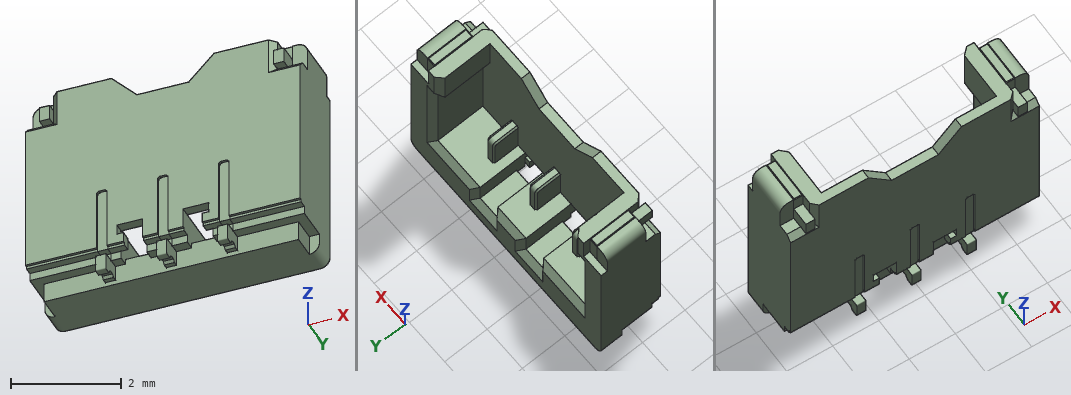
import cadquery as cq


WIDTH = 5.4
HEIGHT = 4.3
OVERALL_DEPTH = 1.45
TIP_OVERHANG = 0.0515
CORNER_RADIUS = 0.2

CAVITY_HALF_WIDTH = 1.9
CAVITY_DEPTH = 1.2
FLOOR_HEIGHT = 1.0
CAVITY_CHAMFER = 0.14

SIDE_POCKET_TOP = 3.395
SIDE_POCKET_DEPTH = 0.2

SLOT_INNER_X = 0.4
SLOT_OUTER_X = 0.9
SLOT_BOTTOM = 0.495
WINDOW_STEP_X = 0.77
WINDOW_STEP_HEIGHT = 0.8

BACK_FOOT_DEPTH = 0.495
BASE_DEPTH = 1.0
BASE_HEIGHT = 0.395
LIP_BOTTOM = 0.55
LIP_STEP_HEIGHT = 0.605
LIP_RELIEF = 0.05

NOTCH_DEPTH = 0.5
NOTCH_HALF_BOTTOM = 0.51

SHOULDER_DROP = 0.605
SIDE_WALL_OUTER_X = 2.205
BACK_RECESS_DEPTH = 0.145
EAR_FRONT_DEPTH = 1.055
SHOULDER_CHAMFER = 0.125

METAL_THICKNESS = 0.2
PEG_FOOT_TOP_DROP = 0.3
PEG_CHAMFER = 0.015

CONTACT_PITCH = 1.2
CONTACT_COUNT = 3
CONTACT_TOP = 1.85
CONTACT_BACK_DEPTH = 0.62
CONTACT_TIP_RADIUS = 0.095
CONTACT_CHAMFER = 0.04
CONTACT_FOOT_EDGE_RADIUS = 0.02
FOOT_REAR_BOTTOM = 0.09
FOOT_TIP_BOTTOM = 0.055
ARCH_TOP = 0.14
ARCH_REAR_DEPTH = 1.09
ARCH_FRONT_DEPTH = 1.305
ARCH_TOP_REAR_DEPTH = 1.14
ARCH_TOP_FRONT_DEPTH = 1.24

CLEAR = 0.055

HALF_WIDTH = WIDTH / 2
BASE_HALF_WIDTH = HALF_WIDTH - CORNER_RADIUS
SHOULDER_HEIGHT = HEIGHT - SHOULDER_DROP
DEPTH = OVERALL_DEPTH - TIP_OVERHANG
LIP_DEPTH = DEPTH - LIP_RELIEF
SIDES = (-1, 1)


def block(x_range, depth_range, z_range):
    """Box between two X values, two depths behind the back plane, and two heights."""
    x0, x1 = sorted(x_range)
    d0, d1 = depth_range
    z0, z1 = z_range
    return cq.Workplane("XY").box(x1 - x0, d1 - d0, z1 - z0, centered=False).translate((x0, -d1, z0))


def profile_along_x(points, x_start, length):
    """Prism along +X from an outline of (depth, height) points."""
    outline = [(-depth, z) for depth, z in points]
    return cq.Workplane("YZ").polyline(outline).close().extrude(length).translate((x_start, 0, 0))


def housing_blank():
    """Stepped cross-section, with all four corners of the front outline rounded."""
    body = profile_along_x(
        [
            (0, 0),
            (BASE_DEPTH, 0),
            (BASE_DEPTH, BASE_HEIGHT),
            (CAVITY_DEPTH, BASE_HEIGHT),
            (CAVITY_DEPTH, LIP_BOTTOM),
            (LIP_DEPTH, LIP_BOTTOM),
            (LIP_DEPTH, LIP_STEP_HEIGHT),
            (DEPTH, LIP_STEP_HEIGHT),
            (DEPTH, HEIGHT),
            (0, HEIGHT),
        ],
        -HALF_WIDTH,
        WIDTH,
    )
    outline = (
        cq.Workplane("XZ")
        .rect(WIDTH, HEIGHT)
        .extrude(DEPTH)
        .edges("|Y")
        .fillet(CORNER_RADIUS)
        .translate((0, 0, HEIGHT / 2))
    )
    body = body.intersect(outline)
    for side in SIDES:
        body = body.cut(
            block(
                (side * BASE_HALF_WIDTH, side * HALF_WIDTH),
                (BACK_FOOT_DEPTH, BASE_DEPTH),
                (0, BASE_HEIGHT),
            )
        )
    return body


def cut_cavity(body):
    """Cavity, its side pockets and floor slots, with one chamfer round their mouth at the back."""
    body = body.cut(
        block((-CAVITY_HALF_WIDTH, CAVITY_HALF_WIDTH), (0, CAVITY_DEPTH), (FLOOR_HEIGHT, HEIGHT))
    )
    pocket_half_width = CAVITY_HALF_WIDTH + SIDE_POCKET_DEPTH
    body = body.cut(
        block((-pocket_half_width, pocket_half_width), (0, CAVITY_DEPTH), (FLOOR_HEIGHT, SIDE_POCKET_TOP))
    )
    for side in SIDES:
        slot_x = (side * SLOT_INNER_X, side * SLOT_OUTER_X)
        body = body.cut(block(slot_x, (0, CAVITY_DEPTH), (SLOT_BOTTOM, FLOOR_HEIGHT)))
    mouth = cq.selectors.BoxSelector(
        (-pocket_half_width - CLEAR, -CLEAR, SLOT_BOTTOM - CLEAR),
        (pocket_half_width + CLEAR, CLEAR, HEIGHT - CLEAR),
    )
    return body.edges(mouth).chamfer(CAVITY_CHAMFER)


def cut_windows(body):
    """Stepped windows through the front wall, and the slots carried on through the underside."""
    for side in SIDES:
        slot_x = (side * SLOT_INNER_X, side * SLOT_OUTER_X)
        stepped_x = (side * SLOT_INNER_X, side * WINDOW_STEP_X)
        body = body.cut(block(slot_x, (BASE_DEPTH, CAVITY_DEPTH), (BASE_HEIGHT, SLOT_BOTTOM)))
        body = body.cut(block(slot_x, (CAVITY_DEPTH, DEPTH), (WINDOW_STEP_HEIGHT, FLOOR_HEIGHT)))
        body = body.cut(block(stepped_x, (CAVITY_DEPTH, DEPTH), (LIP_BOTTOM, WINDOW_STEP_HEIGHT)))
    return body


def cut_notch(body):
    """V-shaped notch with 45-degree flanks and a flat bottom."""
    half_top = NOTCH_HALF_BOTTOM + NOTCH_DEPTH
    notch = (
        cq.Workplane("XZ")
        .polyline(
            [
                (-half_top, HEIGHT),
                (-NOTCH_HALF_BOTTOM, HEIGHT - NOTCH_DEPTH),
                (NOTCH_HALF_BOTTOM, HEIGHT - NOTCH_DEPTH),
                (half_top, HEIGHT),
            ]
        )
        .close()
        .extrude(DEPTH)
    )
    return body.cut(notch)


def front_recess():
    """Right-hand front corner recess; its floor and inner wall flare at 45 degrees to the front."""
    flare_depth = DEPTH - SHOULDER_CHAMFER
    corner_width = HALF_WIDTH - SIDE_WALL_OUTER_X
    straight = block(
        (SIDE_WALL_OUTER_X, HALF_WIDTH), (EAR_FRONT_DEPTH, DEPTH), (SHOULDER_HEIGHT, HEIGHT)
    )
    middle = (SIDE_WALL_OUTER_X + corner_width / 2 + CLEAR, SHOULDER_HEIGHT + SHOULDER_DROP / 2 + CLEAR)
    width = corner_width + 2 * CLEAR
    height = SHOULDER_DROP + 2 * CLEAR
    flare = (
        cq.Workplane("XZ", origin=(0, -flare_depth, 0))
        .center(*middle)
        .rect(width, height)
        .workplane(offset=SHOULDER_CHAMFER)
        .rect(width + 2 * SHOULDER_CHAMFER, height + 2 * SHOULDER_CHAMFER)
        .loft(ruled=True)
    )
    return straight.union(flare)


def cut_shoulders(body):
    """Front and back recesses at both top corners, and the slot beside each ear for its peg."""
    front = front_recess()
    back = block((SIDE_WALL_OUTER_X, HALF_WIDTH), (0, BACK_RECESS_DEPTH), (SHOULDER_HEIGHT, HEIGHT))
    peg_slot = block(
        (SIDE_WALL_OUTER_X, SIDE_WALL_OUTER_X + METAL_THICKNESS),
        (BACK_RECESS_DEPTH, EAR_FRONT_DEPTH),
        (SHOULDER_HEIGHT, HEIGHT),
    )
    for tool in (front, back, peg_slot):
        body = body.cut(tool).cut(tool.mirror("YZ"))
    return body


def make_contact(x):
    """Upright blade with a rounded, chamfered tip and an arched foot standing out to the front."""
    x_start = x - METAL_THICKNESS / 2
    contact = profile_along_x(
        [
            (CONTACT_BACK_DEPTH, FOOT_REAR_BOTTOM),
            (ARCH_REAR_DEPTH, FOOT_REAR_BOTTOM),
            (ARCH_TOP_REAR_DEPTH, ARCH_TOP),
            (ARCH_TOP_FRONT_DEPTH, ARCH_TOP),
            (ARCH_FRONT_DEPTH, FOOT_TIP_BOTTOM),
            (OVERALL_DEPTH, FOOT_TIP_BOTTOM),
            (OVERALL_DEPTH, BASE_HEIGHT),
            (CAVITY_DEPTH, BASE_HEIGHT),
            (CAVITY_DEPTH, LIP_BOTTOM),
            (LIP_DEPTH, LIP_BOTTOM),
            (LIP_DEPTH, CONTACT_TOP),
            (CONTACT_BACK_DEPTH, CONTACT_TOP),
        ],
        x_start,
        METAL_THICKNESS,
    )
    contact = contact.faces("<Y").edges("|X").fillet(CONTACT_FOOT_EDGE_RADIUS)
    contact = contact.faces(">Z").edges(">Y").fillet(CONTACT_TIP_RADIUS)
    return contact.faces(">Z").edges("|Y").chamfer(CONTACT_CHAMFER)


def make_peg(side):
    """Flat plate beside the ear, with a foot standing out to the front."""
    x_range = (side * SIDE_WALL_OUTER_X, side * (SIDE_WALL_OUTER_X + METAL_THICKNESS))
    plate = block(x_range, (BACK_RECESS_DEPTH, EAR_FRONT_DEPTH), (SHOULDER_HEIGHT, HEIGHT))
    plate = plate.faces(">Z").chamfer(PEG_CHAMFER)
    foot = block(x_range, (EAR_FRONT_DEPTH, OVERALL_DEPTH), (SHOULDER_HEIGHT, HEIGHT - PEG_FOOT_TOP_DROP))
    return plate.union(foot)


def cut_groove(body, x):
    """Groove in the front face before a contact, as wide as its blade and bevelled like its tip."""
    half_width = METAL_THICKNESS / 2
    groove = (
        cq.Workplane("XZ", origin=(x, -LIP_DEPTH, 0))
        .polyline(
            [
                (-half_width, LIP_STEP_HEIGHT),
                (half_width, LIP_STEP_HEIGHT),
                (half_width, CONTACT_TOP - CONTACT_CHAMFER),
                (half_width - CONTACT_CHAMFER, CONTACT_TOP),
                (CONTACT_CHAMFER - half_width, CONTACT_TOP),
                (-half_width, CONTACT_TOP - CONTACT_CHAMFER),
            ]
        )
        .close()
        .extrude(LIP_RELIEF)
    )
    return body.cut(groove)


contact_centres = [(index - (CONTACT_COUNT - 1) / 2) * CONTACT_PITCH for index in range(CONTACT_COUNT)]
contacts = [make_contact(x) for x in contact_centres]
pegs = [make_peg(side) for side in SIDES]

housing = housing_blank()
housing = cut_cavity(housing)
housing = cut_windows(housing)
housing = cut_notch(housing)
housing = cut_shoulders(housing)

for x, contact in zip(contact_centres, contacts):
    housing = cut_groove(housing, x)
    housing = housing.cut(contact)

result = cq.Compound.makeCompound(
    [
        housing.val(),
        *[contact.val() for contact in contacts],
        *[peg.val() for peg in pegs],
    ]
)